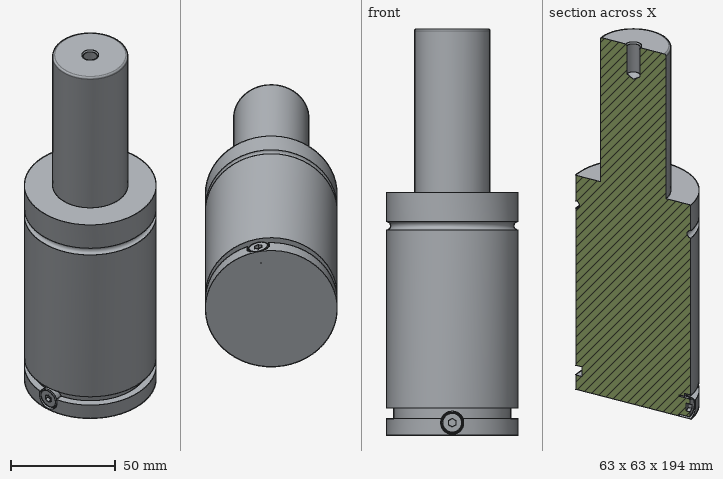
import cadquery as cq
import math

body_diameter = 63.0
body_height = 116.0
body_radius = body_diameter / 2

base_flange_height = 8.0
base_groove_width = 5.0
base_groove_diameter = 56.0

head_groove_radius = 2.0
head_groove_height = 100.0

rod_diameter = 36.0
total_height = 194.0
rod_edge_fillet = 1.0

rod_hole_diameter = 6.8
rod_hole_mouth_diameter = 8.0
rod_hole_mouth_depth = 0.8
rod_hole_depth = 16.0
drill_point_angle = 118.0

plug_diameter = 10.0
plug_seat_diameter = 11.0
plug_height = 6.0
plug_edge_chamfer = 0.5
plug_face_offset = 31.0
plug_seat_offset = 25.0
socket_across_flats = 3.5
socket_depth = 2.0


def make_body():
    """Turned body with both circumferential grooves."""
    body = cq.Workplane("XY").circle(body_radius).extrude(body_height)
    base_groove = (
        cq.Workplane("XY", origin=(0, 0, base_flange_height))
        .circle(body_radius)
        .circle(base_groove_diameter / 2)
        .extrude(base_groove_width)
    )
    head_groove = cq.Workplane("XY").add(
        cq.Solid.makeTorus(body_radius, head_groove_radius, cq.Vector(0, 0, head_groove_height))
    )
    return body.cut(base_groove).cut(head_groove)


def make_rod():
    """Piston rod standing on the body, with a rounded end."""
    return (
        cq.Workplane("XY", origin=(0, 0, body_height))
        .circle(rod_diameter / 2)
        .extrude(total_height - body_height)
        .faces(">Z")
        .edges()
        .fillet(rod_edge_fillet)
    )


def make_rod_hole():
    """Blind hole with a countersunk mouth and a conical drill point."""
    hole_radius = rod_hole_diameter / 2
    mouth_radius = rod_hole_mouth_diameter / 2
    floor = total_height - rod_hole_depth
    point_depth = hole_radius / math.tan(math.radians(drill_point_angle / 2))
    return (
        cq.Workplane("XZ")
        .moveTo(0, total_height)
        .lineTo(mouth_radius, total_height)
        .lineTo(hole_radius, total_height - rod_hole_mouth_depth)
        .lineTo(hole_radius, floor)
        .lineTo(0, floor - point_depth)
        .close()
        .revolve(360, (0, 0, 0), (0, 1, 0))
    )


def plug_plane(offset):
    """Plane square to the plug axis, at a distance from the body axis, facing -Y."""
    return cq.Workplane("XZ", origin=(0, -offset, plug_height))


def make_plug_seat():
    """Round pocket that leaves a narrow ring gap around the plug."""
    return plug_plane(plug_seat_offset).circle(plug_seat_diameter / 2).extrude(body_radius - plug_seat_offset)


def make_plug():
    """Plug with a chamfered rim and a hexagon socket, one corner upward."""
    plug = (
        plug_plane(plug_seat_offset)
        .circle(plug_diameter / 2)
        .extrude(plug_face_offset - plug_seat_offset)
        .faces("<Y")
        .chamfer(plug_edge_chamfer)
    )
    socket = (
        plug_plane(plug_face_offset - socket_depth)
        .transformed(rotate=(0, 0, 90))
        .polygon(6, socket_across_flats / math.cos(math.pi / 6))
        .extrude(socket_depth)
    )
    return plug.cut(socket)


cylinder = make_body().union(make_rod()).cut(make_rod_hole())
result = cylinder.cut(make_plug_seat()).union(make_plug())